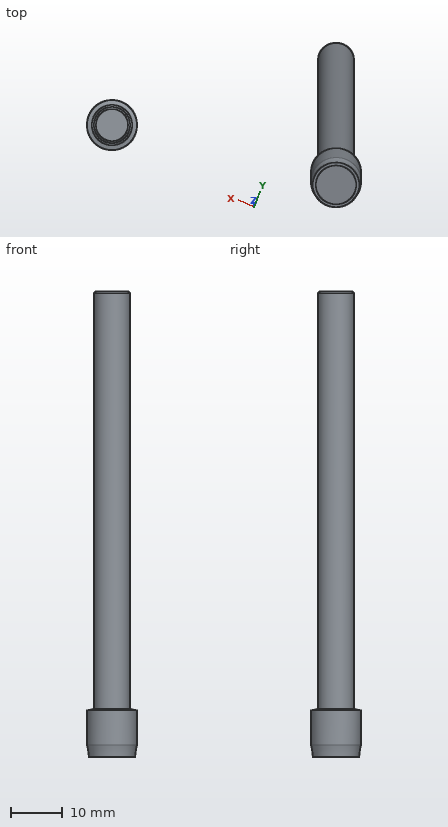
import cadquery as cq

total_length = 90.0
sleeve_radius = 4.865

shaft_radius = 3.5
shaft_chamfer = 0.4
root_radius = 3.9

shoulder_height = 9.3
shoulder_drop = 0.3

nose_height = 2.4
nose_end_radius = 4.5
nose_mid_radius = 4.63


def shoulder_z(radius):
    """Height of the conical shoulder at a given radius."""
    slope = shoulder_drop / (sleeve_radius - shaft_radius)
    return shoulder_height - slope * (radius - shaft_radius)


def revolve_about_z(profile):
    """Turn a closed XZ profile a full revolution about the Z axis."""
    return profile.revolve(360, (0, 0, 0), (0, 1, 0))


def make_pin():
    profile = (
        cq.Workplane("XZ")
        .lineTo(root_radius, 0)
        .lineTo(root_radius, shoulder_z(root_radius))
        .lineTo(shaft_radius, shoulder_height)
        .lineTo(shaft_radius, total_length)
        .lineTo(0, total_length)
        .close()
    )
    return revolve_about_z(profile).faces(">Z").edges().chamfer(shaft_chamfer)


def make_sleeve():
    profile = (
        cq.Workplane("XZ")
        .moveTo(nose_end_radius, 0)
        .lineTo(root_radius, 0)
        .lineTo(root_radius, shoulder_z(root_radius))
        .lineTo(sleeve_radius, shoulder_z(sleeve_radius))
        .lineTo(sleeve_radius, nose_height)
        .threePointArc((nose_mid_radius, nose_height / 2), (nose_end_radius, 0))
        .close()
    )
    return revolve_about_z(profile)


pin = make_pin()
sleeve = make_sleeve()

result = cq.Compound.makeCompound([pin.val(), sleeve.val()])